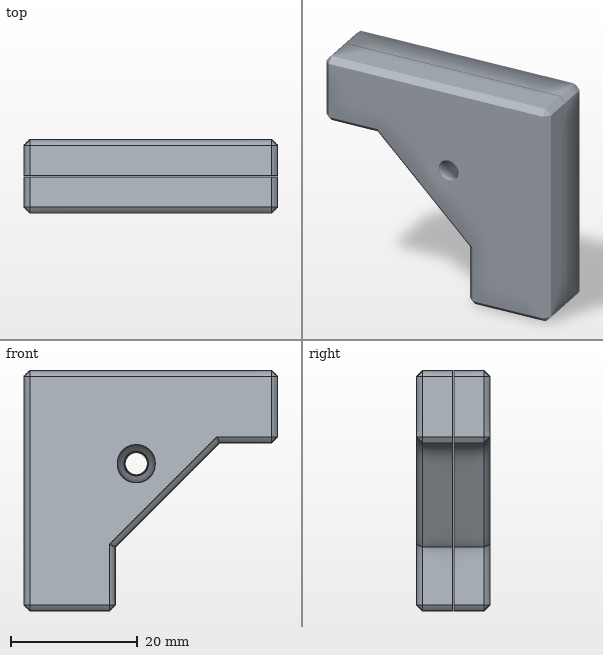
import cadquery as cq

length = 40.0
height = 37.9
thickness = 11.6
gap = 0.2
half_thickness = (thickness - gap) / 2

upright_width = 14.45
arm_height = 11.4
web_leg = 16.4
chamfer = 0.95

screw_x = 17.7
screw_z = height - 14.7
screw_diameter = 3.5
head_diameter = 6.0
recess_depth = 2.0
seat_diameter = 3.85
cone_depth = 0.9


def bracket_half(y_start, outer_face):
    """L-shaped plate from y_start towards +Y, chamfered at its outer corners and face rim."""
    arm_bottom = height - arm_height
    outline = [
        (0, 0),
        (upright_width, 0),
        (upright_width, arm_bottom - web_leg),
        (upright_width + web_leg, arm_bottom),
        (length, arm_bottom),
        (length, height),
        (0, height),
    ]
    plate = (
        cq.Workplane("XZ", origin=(0, y_start, 0))
        .polyline(outline)
        .close()
        .extrude(-half_thickness)
    )
    corners = plate.edges("|Y")
    outer_corners = corners.edges("<X or >X or <Z").vals()
    rim = plate.faces(outer_face).edges().vals()
    return plate.newObject(outer_corners + rim).chamfer(chamfer)


def hole_cylinder(diameter, depth):
    """Cylinder on the screw axis, running from y = 0 towards +Y."""
    return (
        cq.Workplane("XZ", origin=(screw_x, 0, screw_z))
        .circle(diameter / 2)
        .extrude(-depth)
    )


def screw_hole():
    """Through hole with a recess for the screw head, opening at y = 0."""
    shank = hole_cylinder(screw_diameter, thickness)
    recess = hole_cylinder(head_diameter, recess_depth)
    cone = cq.Solid.makeCone(
        head_diameter / 2,
        seat_diameter / 2,
        cone_depth,
        pnt=cq.Vector(screw_x, recess_depth, screw_z),
        dir=cq.Vector(0, 1, 0),
    )
    return shank.union(recess).union(cq.Workplane(cone))


front_half = bracket_half(0, "<Y").cut(screw_hole())
back_half = bracket_half(thickness - half_thickness, ">Y").cut(screw_hole())

result = cq.Compound.makeCompound([front_half.val(), back_half.val()])